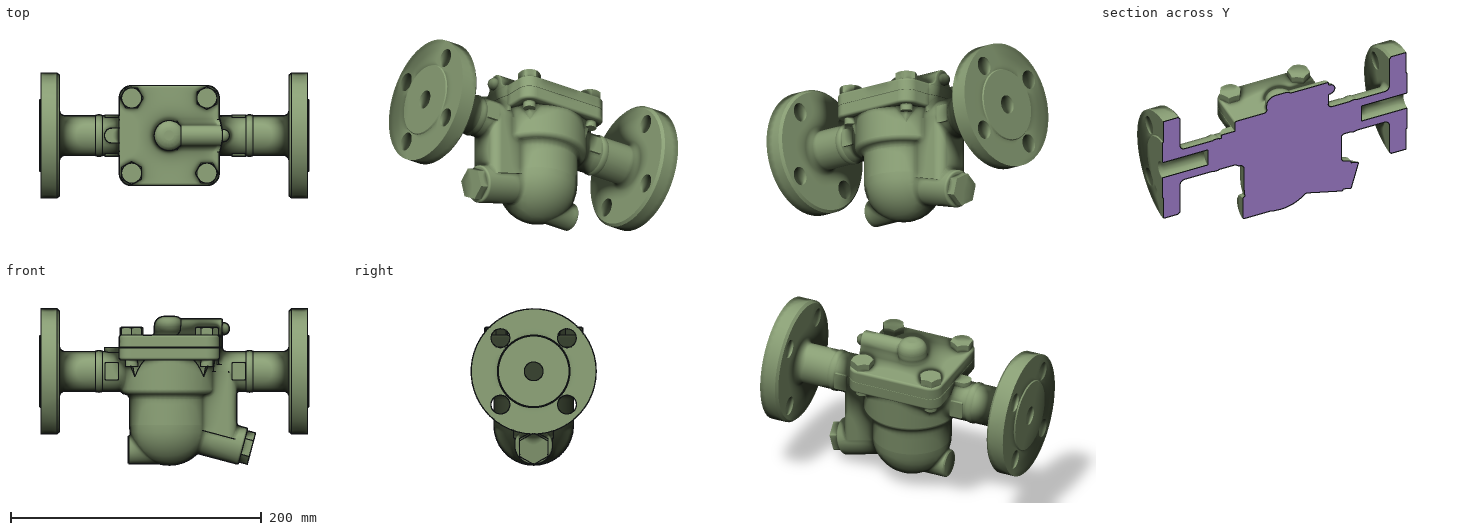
import cadquery as cq
import math

overall_length = 215.0
half_length = overall_length / 2
pipe_radius = 16.0
bore_dia = 15.0
bore_depth = 40.0

flange_dia = 100.0
flange_thickness = 15.0
flange_chamfer = 2.0
raised_face_dia = 56.5
raised_face_base_dia = 58.0
raised_face_height = 1.0
flange_hole_dia = 15.0
flange_hole_circle_dia = 75.0
flange_hole_count = 4
flange_hole_start_angle = 45.0
neck_fillet = 4.0

bead_start = 57.2
bead_end = 63.0
bead_bulge = 0.7
pad_length = 11.0
pad_height = 14.0
pad_reach = 16.6
pad_centers_x = (-49.9, 51.5)
pad_corner = 1.2

body_x = -4.0
upper_radius = 38.8
bowl_radius = 31.8
body_bottom = -75.0
bowl_center_z = body_bottom + bowl_radius
shoulder_top = -14.3
shoulder_bottom = -22.2
inlet_blend = 3.0

joint_size = 80.0
joint_corner = 10.0
joint_bottom = 9.0
gasket_bottom = 18.8
gasket_thickness = 0.6
gasket_inset = 0.5
cover_bottom = gasket_bottom + gasket_thickness
cover_top = 29.0
joint_edge_fillet = 2.0
bulge_radius = 42.5
bulge_half_width = 20.0
outlet_blend = 3.0
outlet_collar_bottom = 5.3
outlet_collar_start = 34.0

bolt_offset = 30.0
bolt_dia = 10.0
bolt_end = 4.0
bolt_head_height = 6.2
bolt_head_flats = 16.0
bolt_head_chamfer = 0.8
lug_root_radius = 30.0
lug_side_radius = 36.0
lug_half_width = 14.0
lug_keel_radius = 43.0
lug_tip_sink = 0.2
lug_tip = -5.0

dome_radius = 12.0
dome_top = 44.0
dome_flat_radius = 4.0
dome_foot_fillet = 2.0
arm_radius = 8.0
arm_z = 34.0
arm_end_fillet = 1.0
knob_radius = 5.0
knob_center_x = 39.1

tongue_end = -55.7
tongue_width = 12.2
tongue_bottom = 15.0
tongue_top = 19.2

block_half_width = 16.0
block_end = 50.0
block_corner = 6.8
block_blend = 2.5
block_pipe_blend = 2.0
block_face_end = block_end - block_corner
block_low_z = -52.7

strainer_tilt = 15.0
strainer_dia = 30.0
strainer_length = 61.0
strainer_edge = 1.5
strainer_blend = 3.0
strainer_z = -44.1
plug_corners = 26.0
plug_height = 7.0

drain_dia = 22.5
drain_z = -62.6
drain_end = -37.0
drain_chamfer = 1.0
drain_blend = 1.5

overlap = 1.0
edge_margin = 0.5


def x_cylinder(radius, x_start, x_end, z=0.0):
    """Cylinder along X between two X positions."""
    return cq.Workplane("YZ", origin=(x_start, 0, z)).circle(radius).extrude(x_end - x_start)


def body_cylinder(radius, z_start, z_end):
    """Vertical cylinder on the body axis."""
    return cq.Workplane("XY", origin=(body_x, 0, z_start)).circle(radius).extrude(z_end - z_start)


def edges_within(shape, x_range, y_reach, z_range):
    """Edges that lie wholly inside a box symmetric about Y = 0."""
    low = (x_range[0], -y_reach, z_range[0])
    high = (x_range[1], y_reach, z_range[1])
    return shape.edges(cq.selectors.BoxSelector(low, high, boundingbox=True))


def turned_body():
    """Upper chamber, S-shaped shoulder and hemispherical bowl."""
    shoulder_mid = ((upper_radius + bowl_radius) / 2, (shoulder_top + shoulder_bottom) / 2)
    bowl_mid = (
        bowl_radius * math.sin(math.radians(45)),
        bowl_center_z - bowl_radius * math.cos(math.radians(45)),
    )
    profile = (
        cq.Workplane("XZ")
        .moveTo(0, body_bottom)
        .threePointArc(bowl_mid, (bowl_radius, bowl_center_z))
        .lineTo(bowl_radius, shoulder_bottom)
        .tangentArcPoint(shoulder_mid, relative=False)
        .tangentArcPoint((upper_radius, shoulder_top), relative=False)
        .lineTo(upper_radius, joint_bottom + joint_edge_fillet)
        .lineTo(0, joint_bottom + joint_edge_fillet)
        .close()
    )
    return profile.revolve(360, (0, 0, 0), (0, 1, 0)).translate((body_x, 0, 0))


def passage_block():
    """Outlet passage with rounded corners and a sloping underside."""
    slope = math.tan(math.radians(strainer_tilt))
    low_start = block_low_z + slope * (block_face_end - body_x)
    low_end = block_low_z - slope * (block_end - block_face_end)
    return (
        cq.Workplane("XZ")
        .polyline([(body_x, 0), (block_end, 0), (block_end, low_end), (body_x, low_start)])
        .close()
        .extrude(block_half_width, both=True)
        .edges("|Z and >X")
        .fillet(block_corner)
    )


def joint_slab(z_start, z_end, inset=0.0):
    """Rounded square slab with the arc-shaped bulge on its outlet side."""
    size = joint_size - 2 * inset
    height = z_end - z_start
    slab = (
        cq.Workplane("XY", origin=(body_x, 0, z_start))
        .rect(size, size)
        .extrude(height)
        .edges("|Z")
        .fillet(joint_corner - inset)
    )
    strip = (
        cq.Workplane("XY", origin=(body_x, 0, z_start))
        .rect(bulge_radius, 2 * bulge_half_width, centered=(False, True))
        .extrude(height)
    )
    return slab.union(body_cylinder(bulge_radius - inset, z_start, z_end).intersect(strip))


def bolted_joint():
    """Body flange, slightly smaller gasket and cover, stacked."""
    body_flange = joint_slab(joint_bottom, gasket_bottom).faces("<Z").edges().fillet(joint_edge_fillet)
    gasket = joint_slab(gasket_bottom, cover_bottom, gasket_inset)
    cover = joint_slab(cover_bottom, cover_top).faces(">Z").edges().fillet(joint_edge_fillet)
    return body_flange.union(gasket).union(cover)


def cover_bolt(x, y, turn):
    """Hexagon head on the cover and the shank end under the body flange."""
    corners = bolt_head_flats / math.cos(math.radians(30))
    head = (
        cq.Workplane("XY")
        .polygon(6, corners)
        .extrude(bolt_head_height)
        .rotate((0, 0, 0), (0, 0, 1), turn)
    )
    envelope = (
        cq.Workplane("XY")
        .circle(corners / 2)
        .extrude(bolt_head_height)
        .faces(">Z")
        .chamfer(bolt_head_chamfer, (corners - bolt_head_flats) / 2)
    )
    head = head.intersect(envelope).translate((x, y, cover_top))
    shank = (
        cq.Workplane("XY", origin=(x, y, bolt_end))
        .circle(bolt_dia / 2)
        .extrude(cover_top - bolt_end)
    )
    return head.union(shank)


def bolt_lug(x_side, y_side):
    """Keeled wedge under a bolt that tapers from the body flange to a tip on the chamber wall."""
    top = joint_bottom + joint_edge_fillet
    corners = [
        (lug_root_radius, 0),
        (lug_side_radius, -lug_half_width),
        (lug_keel_radius, 0),
        (lug_side_radius, lug_half_width),
    ]
    base = [cq.Vector(radius, across, top) for radius, across in corners]
    tip = cq.Vector(upper_radius - lug_tip_sink, 0, lug_tip)
    faces = [cq.Face.makeFromWires(cq.Wire.makePolygon(base, close=True))]
    for start, end in zip(base, base[1:] + base[:1]):
        faces.append(cq.Face.makeFromWires(cq.Wire.makePolygon([start, end, tip], close=True)))
    wedge = cq.Workplane(obj=cq.Solid.makeSolid(cq.Shell.makeShell(faces)))
    direction = math.degrees(math.atan2(y_side, x_side))
    return wedge.rotate((0, 0, 0), (0, 0, 1), direction).translate((body_x, 0, 0))


def cover_dome():
    """Round-shouldered dome on the body axis with a blended foot."""
    dome = body_cylinder(dome_radius, cover_top - overlap, dome_top)
    dome = dome.faces(">Z").edges().fillet(dome_radius - dome_flat_radius)
    foot_radius = dome_radius + dome_foot_fillet
    foot_profile = (
        cq.Workplane("XZ")
        .moveTo(0, cover_top - overlap)
        .lineTo(foot_radius, cover_top - overlap)
        .lineTo(foot_radius, cover_top)
        .radiusArc((dome_radius, cover_top + dome_foot_fillet), dome_foot_fillet)
        .lineTo(0, cover_top + dome_foot_fillet)
        .close()
    )
    foot = foot_profile.revolve(360, (0, 0, 0), (0, 1, 0)).translate((body_x, 0, 0))
    return dome.union(foot)


def cover_arm():
    """Round-topped arm blended into the cover and cut off by the bulge arc."""
    foot_radius = arm_z - cover_top
    foot_half = arm_radius + foot_radius
    root = cover_top - joint_edge_fillet
    arm = (
        cq.Workplane("YZ", origin=(body_x, 0, 0))
        .moveTo(-foot_half, root)
        .lineTo(-foot_half, cover_top)
        .radiusArc((-arm_radius, arm_z), -foot_radius)
        .threePointArc((0, arm_z + arm_radius), (arm_radius, arm_z))
        .radiusArc((foot_half, cover_top), -foot_radius)
        .lineTo(foot_half, root)
        .close()
        .extrude(bulge_radius + overlap)
    )
    arm = arm.intersect(body_cylinder(bulge_radius, root, dome_top))
    return arm.faces(">X").edges().fillet(arm_end_fillet)


def arm_knob():
    """Ball end that sticks out of the arm."""
    return cq.Workplane("XY", origin=(knob_center_x, 0, arm_z)).sphere(knob_radius)


def inlet_tongue():
    """Flat round-ended tongue on top of the inlet pipe."""
    length = body_x - tongue_end
    end_radius = tongue_width / 2
    return (
        cq.Workplane("XY", origin=(tongue_end, 0, tongue_bottom))
        .moveTo(length, -end_radius)
        .lineTo(end_radius, -end_radius)
        .threePointArc((0, 0), (end_radius, end_radius))
        .lineTo(length, end_radius)
        .close()
        .extrude(tongue_top - tongue_bottom)
    )


def pipe_pad(x):
    """Pair of flat rectangular pads on the front and back of the pipe."""
    return (
        cq.Workplane("XY")
        .box(pad_length, 2 * pad_reach, pad_height)
        .edges("|Y")
        .fillet(pad_corner)
        .translate((x, 0, 0))
    )


def strainer():
    """Boss and hexagon plug along the inclined axis through the bowl."""
    tilted = cq.Plane(
        origin=(body_x, 0, strainer_z),
        xDir=(
            math.sin(math.radians(strainer_tilt)),
            0,
            math.cos(math.radians(strainer_tilt)),
        ),
        normal=(
            math.cos(math.radians(strainer_tilt)),
            0,
            -math.sin(math.radians(strainer_tilt)),
        ),
    )
    boss = cq.Workplane(tilted).circle(strainer_dia / 2).extrude(strainer_length)
    boss = boss.edges("%CIRCLE").edges(">X").fillet(strainer_edge)
    plug = (
        cq.Workplane(tilted)
        .workplane(offset=strainer_length - overlap)
        .polygon(6, plug_corners)
        .extrude(plug_height + overlap)
    )
    return boss, plug


def drain_boss():
    """Chamfered round boss low on the inlet side of the bowl."""
    return x_cylinder(drain_dia / 2, drain_end, body_x, drain_z).faces("<X").chamfer(drain_chamfer)


def end_connection():
    """Flange, neck and weld bead at +X, turned about the pipe axis."""
    flange_front = half_length - raised_face_height
    flange_back = flange_front - flange_thickness
    rim = flange_dia / 2
    profile = (
        cq.Workplane("XY")
        .moveTo(bead_start, 0)
        .lineTo(bead_start, pipe_radius)
        .threePointArc(((bead_start + bead_end) / 2, pipe_radius + bead_bulge), (bead_end, pipe_radius))
        .lineTo(flange_back - neck_fillet, pipe_radius)
        .radiusArc((flange_back, pipe_radius + neck_fillet), -neck_fillet)
        .lineTo(flange_back, rim - flange_chamfer)
        .lineTo(flange_back + flange_chamfer, rim)
        .lineTo(flange_front, rim)
        .lineTo(flange_front, raised_face_base_dia / 2)
        .lineTo(half_length, raised_face_dia / 2)
        .lineTo(half_length, 0)
        .close()
    )
    holes = (
        cq.Workplane("YZ", origin=(flange_back - overlap, 0, 0))
        .polarArray(flange_hole_circle_dia / 2, flange_hole_start_angle, 360, flange_hole_count)
        .circle(flange_hole_dia / 2)
        .extrude(flange_thickness + 2 * overlap)
    )
    return profile.revolve(360, (0, 0, 0), (1, 0, 0)).cut(holes)


def inlet_on_body(chamber):
    """Inlet pipe blended into the upper chamber."""
    joined = chamber.union(x_cylinder(pipe_radius, -bead_start, body_x))
    meeting = edges_within(
        joined,
        (body_x - upper_radius - edge_margin, body_x - bowl_radius),
        pipe_radius + edge_margin,
        (-pipe_radius - edge_margin, joint_bottom + joint_edge_fillet + edge_margin),
    )
    return meeting.fillet(inlet_blend)


def block_corner_x(radius):
    """X where the flat side of the passage block meets a body radius."""
    return body_x + math.sqrt(radius**2 - block_half_width**2)


def block_on_body(chamber):
    """Outlet passage block blended into the chamber along its upright corners."""
    joined = chamber.union(passage_block())
    x_low = block_corner_x(bowl_radius) - edge_margin
    x_high = block_corner_x(upper_radius) + edge_margin
    z_low = bowl_center_z - edge_margin
    sides = []
    for y in (-block_half_width, block_half_width):
        low = (x_low, y - edge_margin, z_low)
        high = (x_high, y + edge_margin, edge_margin)
        sides.append(cq.selectors.BoxSelector(low, high, boundingbox=True))
    return joined.edges(sides[0] + sides[1]).fillet(block_blend)


def strainer_on_body(chamber, boss):
    """Strainer boss blended into the bowl."""
    joined = chamber.union(boss)
    meeting = edges_within(
        joined,
        (body_x + strainer_dia / 2, body_x + bowl_radius + edge_margin),
        strainer_dia / 2 + edge_margin,
        (body_bottom, shoulder_bottom - edge_margin),
    )
    return meeting.fillet(strainer_blend)


def strainer_on_block(boss):
    """Strainer boss blended into the rounded end of the passage block."""
    joined = passage_block().union(boss)
    meeting = edges_within(
        joined,
        ((block_face_end + block_end) / 2, block_end + edge_margin),
        strainer_dia / 2,
        (block_low_z - block_corner, -pipe_radius),
    )
    return meeting.fillet(strainer_blend)


def block_on_pipe():
    """Rounded end of the passage block blended into the outlet pipe."""
    joined = passage_block().union(x_cylinder(pipe_radius, body_x, bead_start))
    meeting = edges_within(
        joined,
        (block_face_end - edge_margin, block_end + edge_margin),
        block_half_width + edge_margin,
        (-pipe_radius - edge_margin, edge_margin),
    )
    return meeting.fillet(block_pipe_blend)


def drain_on_body(chamber):
    """Drain boss blended into the bowl."""
    joined = chamber.union(drain_boss())
    meeting = edges_within(
        joined,
        (body_x - bowl_radius, body_x),
        drain_dia / 2 + edge_margin,
        (body_bottom + edge_margin, bowl_center_z - edge_margin),
    )
    return meeting.fillet(drain_blend)


def outlet_collar():
    """Blend between the outlet pipe and the bulge of the body flange."""
    joined = body_cylinder(bulge_radius, -gasket_bottom, gasket_bottom)
    joined = joined.union(x_cylinder(pipe_radius, body_x, bead_start))
    meeting = edges_within(
        joined,
        (outlet_collar_start, bead_start - edge_margin),
        pipe_radius + edge_margin,
        (-pipe_radius - edge_margin, pipe_radius + edge_margin),
    )
    blended = meeting.fillet(outlet_blend)
    window = (
        cq.Workplane("XY", origin=(outlet_collar_start, 0, outlet_collar_bottom))
        .rect(bead_start - outlet_collar_start, 2 * pipe_radius, centered=(False, True))
        .extrude(gasket_bottom - outlet_collar_bottom)
    )
    return blended.intersect(window)


chamber = turned_body()
strainer_boss, strainer_plug = strainer()

body = inlet_on_body(chamber)
body = body.union(block_on_body(chamber))
body = body.union(block_on_pipe())
body = body.union(strainer_on_body(chamber, strainer_boss))
body = body.union(strainer_on_block(strainer_boss))
body = body.union(drain_on_body(chamber))
body = body.union(outlet_collar())

result = body.union(bolted_joint())
for x_side in (-1, 1):
    for y_side in (-1, 1):
        head_turn = 0 if x_side != y_side else 30
        result = result.union(bolt_lug(x_side, y_side))
        result = result.union(cover_bolt(body_x + x_side * bolt_offset, y_side * bolt_offset, head_turn))
result = result.union(cover_dome()).union(cover_arm()).union(arm_knob())
result = result.union(inlet_tongue()).union(strainer_plug)
for pad_x in pad_centers_x:
    result = result.union(pipe_pad(pad_x))

outlet_end = end_connection()
inlet_end = outlet_end.mirror("YZ")
result = result.union(outlet_end).union(inlet_end)
result = result.cut(x_cylinder(bore_dia / 2, half_length - bore_depth, half_length))
result = result.cut(x_cylinder(bore_dia / 2, -half_length, -half_length + bore_depth))